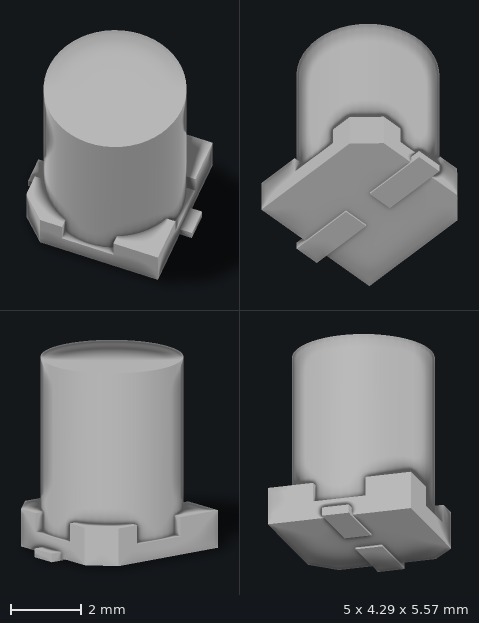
import cadquery as cq

overall_length = 5.0
overall_height = 5.57

can_diameter = 4.07

base_side = 4.29
base_bottom = 0.06
base_top = 1.16
base_corner_chamfer = 0.69

notch_width = 1.57
notch_floor = 0.60

terminal_width = 0.80
terminal_thickness = 0.25
terminal_gap = 0.97
terminal_length = (overall_length - terminal_gap) / 2
terminal_center = (terminal_gap + terminal_length) / 2


def make_can():
    """Cylindrical can, standing on the level of the notch floors."""
    return (
        cq.Workplane("XY", origin=(0, 0, notch_floor))
        .circle(can_diameter / 2)
        .extrude(overall_height - notch_floor)
    )


def make_terminal(side):
    """Flat terminal strip; side is -1 for the -X end and +1 for the +X end."""
    return cq.Workplane("XY").box(
        terminal_length, terminal_width, terminal_thickness, centered=(True, True, False)
    ).translate((side * terminal_center, 0, 0))


def make_notch_cutter(length, width):
    """Block that clears a channel across the base, above the notch floor."""
    return cq.Workplane("XY", origin=(0, 0, notch_floor)).box(
        length, width, base_top - notch_floor, centered=(True, True, False)
    )


def make_base(seated_bodies):
    """Square base with two chamfered corners, side notches and seats for the other bodies."""
    base = (
        cq.Workplane("XY", origin=(0, 0, base_bottom))
        .box(base_side, base_side, base_top - base_bottom, centered=(True, True, False))
        .edges("|Z and <X")
        .chamfer(base_corner_chamfer)
    )

    base = base.cut(make_notch_cutter(base_side, notch_width))
    base = base.cut(make_notch_cutter(notch_width, base_side))

    for body in seated_bodies:
        base = base.cut(body)
    return base


can = make_can()
terminals = [make_terminal(side) for side in (-1, 1)]
base = make_base([can, *terminals])

result = cq.Compound.makeCompound(
    [base.val(), can.val(), *[terminal.val() for terminal in terminals]]
)